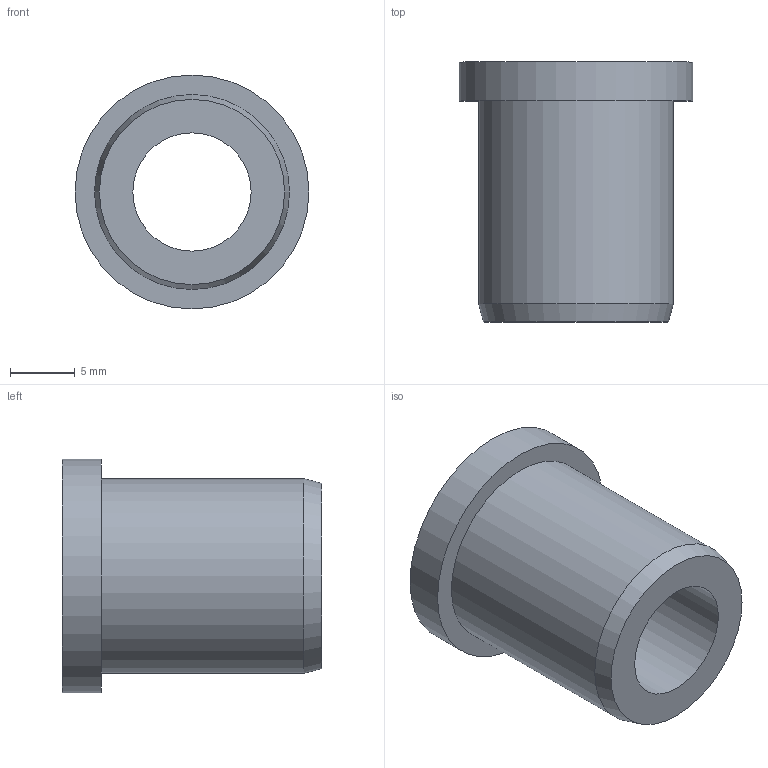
import cadquery as cq
import math

total_length = 20.0
flange_diameter = 18.0
flange_thickness = 3.0
body_diameter = 15.0
bore_diameter = 9.1
lead_in_length = 1.4
lead_in_angle = 15.0

flange_radius = flange_diameter / 2
body_radius = body_diameter / 2
bore_radius = bore_diameter / 2
lead_in_radius = body_radius - lead_in_length * math.tan(math.radians(lead_in_angle))
flange_face_y = total_length
shoulder_y = total_length - flange_thickness


def make_bushing():
    """Revolve the half section (radius along X, length along Y) about the Y axis."""
    half_section = (
        cq.Workplane("XY")
        .moveTo(bore_radius, 0)
        .lineTo(lead_in_radius, 0)
        .lineTo(body_radius, lead_in_length)
        .lineTo(body_radius, shoulder_y)
        .lineTo(flange_radius, shoulder_y)
        .lineTo(flange_radius, flange_face_y)
        .lineTo(bore_radius, flange_face_y)
        .close()
    )
    return half_section.revolve(360, (0, 0, 0), (0, 1, 0))


result = make_bushing()